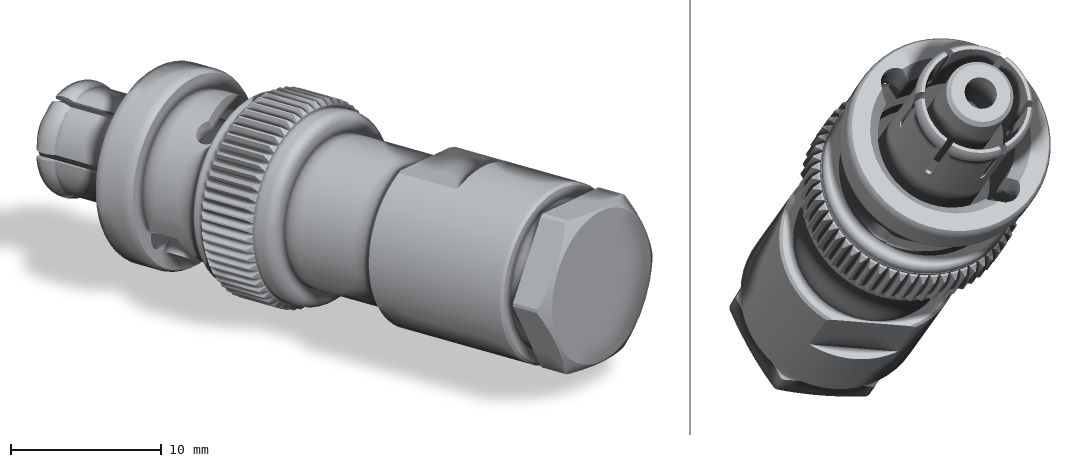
import cadquery as cq
import math

LENGTH = 45.75

TIP_DIA = 4.57
TIP_FACE_DIA = 4.02
CONTACT_MOUTH_DIA = 2.2
CONTACT_MOUTH_DEPTH = 4.57
CONTACT_LEAD_DIA = 1.7
CONTACT_LEAD_LENGTH = 0.25
CONTACT_DIA = 1.35
CONTACT_DEPTH = 7.3

SLEEVE_START = 1.3
SLEEVE_DIA = 7.5
SLEEVE_BORE_DIA = 7.05
SLEEVE_BORE_END = 8.25
LIP_DIA = 8.05
LIP_LENGTH = 1.55
SPRING_SLOT_COUNT = 6
SPRING_SLOT_WIDTH = 0.45
SPRING_SLOT_END = 7.35

FLANGE_START = 8.55
FLANGE_END = 11.65
FLANGE_DIA = 13.9
FLANGE_EDGE_DIA = 13.45
FLANGE_EDGE_LENGTH = 0.6
BARREL_DIA = 11.4
SHELL_MOUTH_DIA = 10.98
SHELL_BORE_DIA = 9.37
SHELL_TAPER_END = 9.7
SHELL_BORE_END = 16.9

TRACK_COUNT = 2
ENTRY_ANGLE = 42.3
KEYWAY_WIDTH = 2.2
KEYWAY_REACH = 6.05
ENTRY_HALF_ANGLE = 14.3
ENTRY_SHORT_END = 13.12
ENTRY_LONG_END = 13.85
RAMP_START_ANGLE = ENTRY_ANGLE - ENTRY_HALF_ANGLE
RAMP_END_ANGLE = 116.5
RAMP_START = 13.2
RAMP_PITCH = 9.75
RAMP_WIDTH = 1.7
SEAT_ANGLE = 124.0
SEAT_X = 15.4
SEAT_DIA = 2.0
TRACK_INNER_RADIUS = 4.1
TRACK_OUTER_RADIUS = 6.4

COLLAR_START = 16.55
COLLAR_END = 23.3
COLLAR_DIA = 13.45
COLLAR_NOSE_END = 17.35
COLLAR_NOSE_DIA = 13.4
COLLAR_FRONT_FILLET = 0.35
COLLAR_REAR_FILLET = 0.7
KNURL_START = 17.5
KNURL_END = 21.75
KNURL_DIA = 14.45
KNURL_CHAMFER = 0.35
KNURL_COUNT = 60
KNURL_GROOVE_WIDTH = 0.65
KNURL_DEPTH = 0.6

TUBE_DIA = 10.7
BODY_START = 30.9
BODY_END = 42.25
BODY_DIA = 12.55
BODY_CHAMFER = 0.2
ACROSS_FLATS = 10.98
FLATS_END = 36.0

NUT_START = 43.15
NUT_CHAMFER_LENGTH = 0.55
NUT_FACE_DIA = 10.7


def cylinder(start, end, diameter):
    return cq.Workplane("YZ", origin=(start, 0, 0)).circle(diameter / 2).extrude(end - start)


def cone(start, end, start_diameter, end_diameter):
    return (
        cq.Workplane("YZ", origin=(start, 0, 0)).circle(start_diameter / 2)
        .workplane(offset=end - start).circle(end_diameter / 2)
        .loft(ruled=True)
    )


def turned(profile):
    """Revolve an (x, radius) outline about the X axis."""
    return profile.close().revolve(360, (0, 0, 0), (1, 0, 0))


def about_axis(shape, angle):
    return shape.rotate((0, 0, 0), (1, 0, 0), angle)


def tip():
    front_chamfer = (TIP_DIA - TIP_FACE_DIA) / 2
    return cylinder(0, SLEEVE_BORE_END, TIP_DIA).faces("<X").chamfer(front_chamfer)


def contact_hole():
    mouth = cylinder(0, CONTACT_MOUTH_DEPTH, CONTACT_MOUTH_DIA)
    lead_end = CONTACT_MOUTH_DEPTH + CONTACT_LEAD_LENGTH
    lead = cone(CONTACT_MOUTH_DEPTH, lead_end, CONTACT_LEAD_DIA, CONTACT_DIA)
    return mouth.union(lead).union(cylinder(0, CONTACT_DEPTH, CONTACT_DIA))


def sleeve():
    sleeve_radius = SLEEVE_DIA / 2
    lip_end = SLEEVE_START + LIP_LENGTH
    body = turned(
        cq.Workplane("XY")
        .moveTo(SLEEVE_START, 0)
        .lineTo(SLEEVE_START, sleeve_radius)
        .threePointArc((SLEEVE_START + LIP_LENGTH / 2, LIP_DIA / 2), (lip_end, sleeve_radius))
        .lineTo(COLLAR_END, sleeve_radius)
        .lineTo(COLLAR_END, 0)
    )
    body = body.cut(cylinder(SLEEVE_START, SLEEVE_BORE_END, SLEEVE_BORE_DIA))
    slot_half_width = SPRING_SLOT_WIDTH / 2
    slot_round_centre = SPRING_SLOT_END - slot_half_width
    slot = (
        cq.Workplane("XZ")
        .moveTo(SLEEVE_START, -slot_half_width)
        .lineTo(slot_round_centre, -slot_half_width)
        .threePointArc((SPRING_SLOT_END, 0), (slot_round_centre, slot_half_width))
        .lineTo(SLEEVE_START, slot_half_width)
        .close().extrude(-LIP_DIA / 2)
    )
    for i in range(SPRING_SLOT_COUNT):
        body = body.cut(about_axis(slot, i * 360 / SPRING_SLOT_COUNT))
    return body


def flange():
    edge_radius = FLANGE_EDGE_DIA / 2
    rim_radius = FLANGE_DIA / 2
    rise = rim_radius - edge_radius
    rounding = (FLANGE_EDGE_LENGTH**2 + rise**2) / (2 * rise)
    return turned(
        cq.Workplane("XY")
        .moveTo(FLANGE_START, 0)
        .lineTo(FLANGE_START, edge_radius)
        .radiusArc((FLANGE_START + FLANGE_EDGE_LENGTH, rim_radius), rounding)
        .lineTo(FLANGE_END - FLANGE_EDGE_LENGTH, rim_radius)
        .radiusArc((FLANGE_END, edge_radius), rounding)
        .lineTo(FLANGE_END, 0)
    )


def entry_slot():
    """Straight slot with radial side walls, its end sloped to meet the ramp."""

    def outline(radius):
        half_width = radius * math.tan(math.radians(ENTRY_HALF_ANGLE))
        return [
            (FLANGE_END, -half_width),
            (ENTRY_LONG_END, -half_width),
            (ENTRY_SHORT_END, half_width),
            (FLANGE_END, half_width),
        ]

    return (
        cq.Workplane("XZ", origin=(0, TRACK_INNER_RADIUS, 0))
        .polyline(outline(TRACK_INNER_RADIUS)).close()
        .workplane(offset=TRACK_INNER_RADIUS - TRACK_OUTER_RADIUS)
        .polyline(outline(TRACK_OUTER_RADIUS)).close()
        .loft(ruled=True)
    )


def ramp():
    """Helical stretch of a bayonet track, swept about Z and then laid along X."""
    height = RAMP_PITCH * (RAMP_END_ANGLE - RAMP_START_ANGLE) / 360
    mid_radius = (TRACK_INNER_RADIUS + TRACK_OUTER_RADIUS) / 2
    helix = cq.Wire.makeHelix(RAMP_PITCH, height, mid_radius)
    swept = (
        cq.Workplane("XZ", origin=(mid_radius, 0, 0))
        .rect(TRACK_OUTER_RADIUS - TRACK_INNER_RADIUS, RAMP_WIDTH)
        .sweep(cq.Workplane(helix), isFrenet=True)
    )
    laid = swept.rotate((0, 0, 0), (1, 1, 1), 120)
    return about_axis(laid, RAMP_START_ANGLE).translate((RAMP_START, 0, 0))


def track():
    """Keyway through the flange, entry slot, ramp and round locking seat."""
    radial_depth = TRACK_OUTER_RADIUS - TRACK_INNER_RADIUS
    keyway_round_centre = KEYWAY_REACH - KEYWAY_WIDTH / 2
    keyway = (
        cq.Workplane("YZ", origin=(FLANGE_START, 0, 0))
        .moveTo(TRACK_INNER_RADIUS, -KEYWAY_WIDTH / 2)
        .lineTo(keyway_round_centre, -KEYWAY_WIDTH / 2)
        .threePointArc((KEYWAY_REACH, 0), (keyway_round_centre, KEYWAY_WIDTH / 2))
        .lineTo(TRACK_INNER_RADIUS, KEYWAY_WIDTH / 2)
        .close().extrude(FLANGE_END - FLANGE_START)
    )
    seat = (
        cq.Workplane("XZ", origin=(SEAT_X, TRACK_INNER_RADIUS, 0))
        .circle(SEAT_DIA / 2).extrude(-radial_depth)
    )
    straight = about_axis(keyway.union(entry_slot()), ENTRY_ANGLE)
    return straight.union(ramp()).union(about_axis(seat, SEAT_ANGLE))


def shell():
    body = flange().union(cylinder(FLANGE_END, COLLAR_END, BARREL_DIA))
    body = body.cut(cone(FLANGE_START, SHELL_TAPER_END, SHELL_MOUTH_DIA, SHELL_BORE_DIA))
    body = body.cut(cylinder(FLANGE_START, SHELL_BORE_END, SHELL_BORE_DIA))
    cutter = track()
    for i in range(TRACK_COUNT):
        body = body.cut(about_axis(cutter, i * 360 / TRACK_COUNT))
    return body


def knurl():
    crest = KNURL_DIA / 2
    half_angle = math.degrees(KNURL_GROOVE_WIDTH / KNURL_DIA)
    points = []
    for i in range(KNURL_COUNT):
        middle = i * 360 / KNURL_COUNT
        for radius, angle in (
            (crest, middle - half_angle),
            (crest - KNURL_DEPTH, middle),
            (crest, middle + half_angle),
        ):
            turn = math.radians(angle)
            points.append((radius * math.cos(turn), radius * math.sin(turn)))
    teeth = (
        cq.Workplane("YZ", origin=(KNURL_START, 0, 0))
        .polyline(points).close().extrude(KNURL_END - KNURL_START)
    )
    envelope = cylinder(KNURL_START, KNURL_END, KNURL_DIA).faces("<X or >X").chamfer(KNURL_CHAMFER)
    return teeth.intersect(envelope)


def collar():
    nose = cylinder(COLLAR_START, COLLAR_NOSE_END, COLLAR_NOSE_DIA)
    nose = nose.faces("<X").edges().fillet(COLLAR_FRONT_FILLET)
    ring = cylinder(COLLAR_NOSE_END, COLLAR_END, COLLAR_DIA)
    ring = ring.faces(">X").edges().fillet(COLLAR_REAR_FILLET)
    return nose.union(ring).union(knurl()).cut(cylinder(COLLAR_START, SHELL_BORE_END, BARREL_DIA))


def rear_body():
    body = cylinder(BODY_START, BODY_END, BODY_DIA).faces("<X or >X").chamfer(BODY_CHAMFER)
    flatted = cq.Workplane("XY").box(
        FLATS_END - BODY_START, BODY_DIA, ACROSS_FLATS, centered=(False, True, True)
    ).translate((BODY_START, 0, 0))
    rear = cylinder(FLATS_END, BODY_END, BODY_DIA)
    return body.intersect(flatted.union(rear))


def nut():
    across_corners = ACROSS_FLATS / math.cos(math.pi / 6)
    hexagon = (
        cq.Workplane("YZ", origin=(NUT_START, 0, 0))
        .polygon(6, across_corners).extrude(LENGTH - NUT_START)
    )
    cone_start = LENGTH - NUT_CHAMFER_LENGTH
    envelope = cylinder(NUT_START, cone_start, BODY_DIA).union(
        cone(cone_start, LENGTH, BODY_DIA, NUT_FACE_DIA)
    )
    return hexagon.intersect(envelope)


tube = cylinder(COLLAR_END, NUT_START, TUBE_DIA)
result = (
    sleeve()
    .union(tip())
    .cut(contact_hole())
    .union(shell())
    .union(collar())
    .union(tube)
    .union(rear_body())
    .union(nut())
)